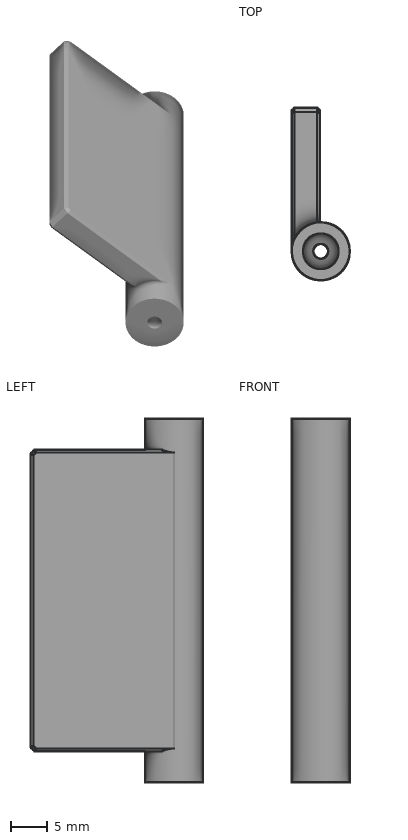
import cadquery as cq

barrel_length = 50.0
barrel_diameter = 8.0
barrel_radius = barrel_diameter / 2
bore_diameter = 2.0
counterbore_diameter = 4.9
counterbore_depth = 2.8

leaf_thickness = 3.9
leaf_height = 41.5
leaf_reach = 19.75
corner_chamfer = 0.6
face_chamfer = 0.4


def make_leaf():
    """Flat plate with chamfered edges, running from the barrel axis towards +Y."""
    leaf = cq.Workplane("XY").box(
        leaf_thickness, leaf_reach, leaf_height, centered=(False, False, True)
    )
    leaf = leaf.faces(">Y").edges("|X").chamfer(corner_chamfer)
    leaf = leaf.faces("<X or >X").edges("not <Y").chamfer(face_chamfer)
    return leaf.translate((-barrel_radius, 0, 0))


def make_barrel():
    """Solid cylinder carrying the pin holes."""
    return cq.Workplane("XY").circle(barrel_radius).extrude(barrel_length / 2, both=True)


def drill_barrel(body):
    """Through bore with a counterbore at the top end."""
    return body.faces(">Z").workplane(origin=(0, 0, 0)).cboreHole(
        bore_diameter, counterbore_diameter, counterbore_depth
    )


result = drill_barrel(make_barrel().union(make_leaf()))